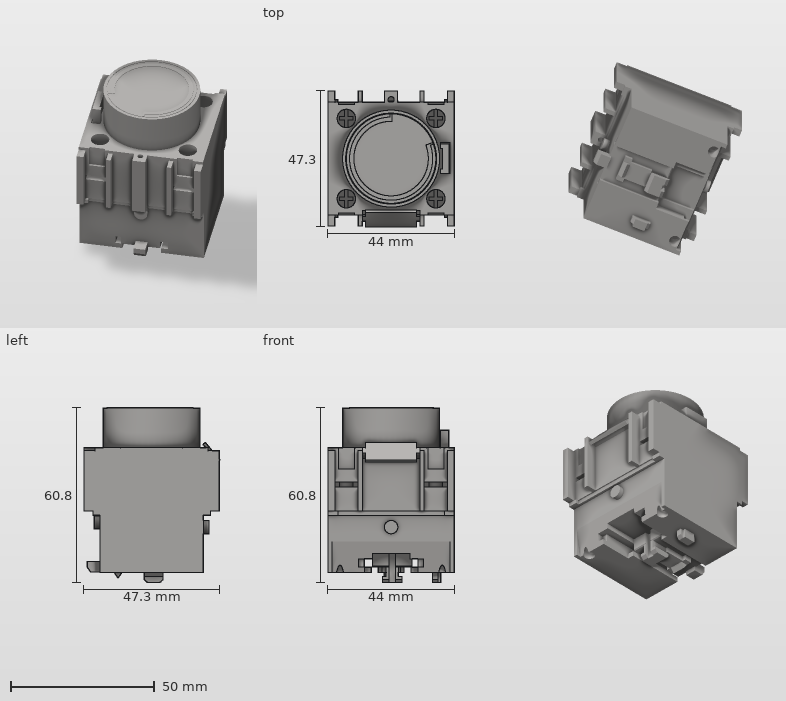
import cadquery as cq
import math

WIDTH = 44.0
OVERALL_HEIGHT = 60.83
BASE_DEPTH = 36.0
HEAD_DEPTH = 39.2
RIB_DEPTH = 47.0
BASE_TOP = 19.9
HEAD_BOTTOM = 21.4
HEAD_TOP = 43.5
OVERLAP = 0.5

BAND_DEPTH = 38.2
FOOT_DEPTH = 40.9
FOOT_INNER_X = 18.5

RIB_TOP = 42.4
OUTER_RIB_INNER_X = 19.55
INNER_RIB_X = (9.95, 11.5)
NOTCH_WIDTH = 5.55
NOTCH_DEPTH = 0.75
NOTCH_BOTTOM = 36.05
WIRE_SLOT_Z = (29.7, 31.5)
SCREW_X = 15.55
SCREW_Y = 13.95
SCREW_HOLE_RADIUS = 3.2
SCREW_HEAD_TOP = 34.0
SCREW_SHANK_RADIUS = 2.33
SCREW_CROSS_WIDTH = 1.2
SCREW_CROSS_SHORT = 4.7
SCREW_CROSS_DEPTH = 1.0

DIAL_RADIUS = 16.85
DIAL_TOP = 57.2
DIAL_GROOVE_RADII = (15.55, 15.8)
DIAL_GROOVE_DEPTH = 0.3
SCALE_RADII = (12.95, 14.45)
SCALE_HEIGHT = 0.2
SCALE_START_ANGLE = 90.0
SCALE_END_ANGLE = 380.0
TICK_LENGTH = DIAL_GROOVE_RADII[0] - SCALE_RADII[0]
TICK_WIDTH = 0.6

KNOB_X = (17.15, 20.05)
KNOB_Y = (-5.1, 5.1)
KNOB_TOP = 49.5
KNOB_RELIEF_WIDTH = 7.1
KNOB_RELIEF_DEPTH = 0.7
KNOB_POCKET_GAP = 0.45
KNOB_POCKET_DEPTH = 1.0

LUG_WIDTH = 4.6
LUG_HOLE_RADIUS = 1.05
LUG_HOLE_Y = 20.5

CLIP_WIDTH = 17.8
CLIP_EAR_WIDTH = 2 * INNER_RIB_X[0]
CLIP_TIP = (-23.83, 39.2)
CLIP_LENGTH = 8.0
CLIP_ANGLE = 49.6
CLIP_THICKNESS = 1.1
CLIP_EAR_BOTTOM = 41.6
CLIP_EAR_THICKNESS = 3.2
CLIP_POCKET_REAR_Y = -17.95
CLIP_POCKET_DEPTH = 1.5

PEG_RADIUS = 2.33
PEG_LENGTH = 2.0
FRONT_PEG_Z = 15.85
REAR_PEG_Z = 17.55

RECESS_WIDTH = 41.0
RECESS_TOP = 10.7
RECESS_DEPTH = 1.8
CHANNEL_Z = (1.95, 4.85)
CHANNEL_WIDTH = 18.6
CHANNEL_MOUTH_WIDTH = 13.7
CHANNEL_CROWN_WIDTH = 12.95
CHANNEL_CROWN_TOP = 6.75
WIDE_POCKET_WIDTH = 22.6
WIDE_POCKET_DEPTH = 3.4
BORE_X = 17.75
BORE_RADIUS = 2.0
BORE_CHORD = 2.5
BORE_DEPTH = 8.0

SHOE_Y = (-4.0, 2.65)
LATCH_X = 0.4
LATCH_WIDTH = 13.8
LATCH_FRONT_Y = SHOE_Y[0]
LATCH_CHAMFER = 0.4
LATCH_SLOT_WIDTH = 2.4
LATCH_SLOT_DEPTH = 1.5
NECK_WIDTH = 4.2
SHOE_WIDTH = 6.85
SHOE_TOP = -1.3
SHOE_BOTTOM = DIAL_TOP + SCALE_HEIGHT - OVERALL_HEIGHT
SHOE_CHAMFER = 1.1
SIDE_SHOE_X = (14.3, 16.3)
SIDE_SHOE_WEB = 0.95
REAR_HOOK_WIDTH = 4.2
REAR_HOOK_Z = (0.2, 3.95)
REAR_HOOK_TIP_Y = 22.4
REAR_HOOK_CHAMFER = (1.2, 1.75)
WEDGE_WIDTH = 5.1
WEDGE_POST_WIDTH = 9.0
KEEL_WIDTH = 6.35
WEDGE_Y = (10.35, 13.0)
WEDGE_DEPTH = 1.85


def box(x_range, y_range, z_range):
    """Axis-aligned block between the given limits."""
    size = [limits[1] - limits[0] for limits in (x_range, y_range, z_range)]
    corner = (x_range[0], y_range[0], z_range[0])
    return cq.Workplane("XY").box(*size, centered=False).translate(corner)


def span(size, middle=0.0):
    """Limits of a length centred on middle."""
    return (middle - size / 2, middle + size / 2)


def cylinder(radius, z_range, x=0.0, y=0.0):
    """Upright cylinder between two heights."""
    height = z_range[1] - z_range[0]
    return cq.Workplane("XY", origin=(x, y, z_range[0])).circle(radius).extrude(height)


def side_profile(points, x_range):
    """Closed (y, z) outline swept along X."""
    sketch = cq.Workplane("YZ", origin=(x_range[0], 0, 0)).polyline(points).close()
    return sketch.extrude(x_range[1] - x_range[0])


def four_corners(shape):
    """The shape together with its mirror images in X and in Y."""
    pair = shape.union(shape.mirror("YZ"))
    return pair.union(pair.mirror("XZ"))


def make_housing():
    body = box(span(WIDTH), span(BASE_DEPTH), (0, BASE_TOP))
    body = body.union(box(span(WIDTH), span(BAND_DEPTH), (BASE_TOP, HEAD_BOTTOM)))
    body = body.union(box(span(WIDTH), span(HEAD_DEPTH), (HEAD_BOTTOM, HEAD_TOP)))
    foot = box((FOOT_INNER_X, WIDTH / 2), (0, FOOT_DEPTH / 2), (BASE_TOP, HEAD_BOTTOM))
    body = body.union(four_corners(foot))
    for rib_x in ((OUTER_RIB_INNER_X, WIDTH / 2), INNER_RIB_X):
        rib = box(rib_x, (0, RIB_DEPTH / 2), (HEAD_BOTTOM, RIB_TOP))
        body = body.union(four_corners(rib))
    return body


def make_terminal_cuts():
    face_y = HEAD_DEPTH / 2
    notch = box(
        span(NOTCH_WIDTH, SCREW_X),
        (face_y - NOTCH_DEPTH, face_y),
        (NOTCH_BOTTOM, HEAD_TOP),
    )
    wire_slot = box((INNER_RIB_X[1], OUTER_RIB_INNER_X), (SCREW_Y, face_y), WIRE_SLOT_Z)
    shank = cylinder(SCREW_SHANK_RADIUS, WIRE_SLOT_Z, SCREW_X, SCREW_Y)
    hole = cylinder(SCREW_HOLE_RADIUS, (SCREW_HEAD_TOP, HEAD_TOP), SCREW_X, SCREW_Y)

    cross_z = (SCREW_HEAD_TOP - SCREW_CROSS_DEPTH, SCREW_HEAD_TOP)
    bar_x = box(span(SCREW_CROSS_SHORT, SCREW_X), span(SCREW_CROSS_WIDTH, SCREW_Y), cross_z)
    bar_y = box(span(SCREW_CROSS_WIDTH, SCREW_X), span(2 * SCREW_HOLE_RADIUS, SCREW_Y), cross_z)
    bar_y = bar_y.intersect(cylinder(SCREW_HOLE_RADIUS, cross_z, SCREW_X, SCREW_Y))

    cuts = notch.union(wire_slot.cut(shank)).union(hole).union(bar_x).union(bar_y)
    return four_corners(cuts)


def make_dial():
    dial = cylinder(DIAL_RADIUS, (HEAD_TOP - OVERLAP, DIAL_TOP))
    groove_z = (DIAL_TOP - DIAL_GROOVE_DEPTH, DIAL_TOP)
    groove = cylinder(DIAL_GROOVE_RADII[1], groove_z).cut(cylinder(DIAL_GROOVE_RADII[0], groove_z))
    return dial.cut(groove).union(make_scale())


def on_circle(radius, angle):
    return (radius * math.cos(math.radians(angle)), radius * math.sin(math.radians(angle)))


def make_scale():
    """Raised arc on the dial with a radial tick at each end."""
    inner, outer = SCALE_RADII
    start, end = SCALE_START_ANGLE, SCALE_END_ANGLE
    middle = (start + end) / 2
    floor = DIAL_TOP - DIAL_GROOVE_DEPTH
    height = SCALE_HEIGHT + DIAL_GROOVE_DEPTH
    scale = (
        cq.Workplane("XY", origin=(0, 0, floor))
        .moveTo(*on_circle(inner, start))
        .threePointArc(on_circle(inner, middle), on_circle(inner, end))
        .lineTo(*on_circle(outer, end))
        .threePointArc(on_circle(outer, middle), on_circle(outer, start))
        .close()
        .extrude(height)
    )
    tick = box((inner, inner + TICK_LENGTH), span(TICK_WIDTH), (floor, floor + height))
    for angle in (start, end):
        scale = scale.union(tick.rotate((0, 0, 0), (0, 0, 1), angle))
    return scale


def add_knob(body):
    pocket_floor = HEAD_TOP - KNOB_POCKET_DEPTH
    pocket = box(
        (KNOB_X[0], KNOB_X[1] + KNOB_POCKET_GAP),
        (KNOB_Y[0], KNOB_Y[1] + KNOB_POCKET_GAP),
        (pocket_floor, HEAD_TOP),
    )
    knob = box(KNOB_X, KNOB_Y, (pocket_floor - OVERLAP, KNOB_TOP))
    relief = box(
        (KNOB_X[0], KNOB_X[0] + KNOB_RELIEF_DEPTH),
        span(KNOB_RELIEF_WIDTH),
        (HEAD_TOP, KNOB_TOP),
    )
    return body.cut(pocket).union(knob.cut(relief))


def make_lug():
    height = (HEAD_BOTTOM, HEAD_TOP)
    lug = box(span(LUG_WIDTH), (HEAD_DEPTH / 2, RIB_DEPTH / 2), height)
    return lug.cut(cylinder(LUG_HOLE_RADIUS, height, 0, LUG_HOLE_Y))


def make_clip():
    angle = math.radians(CLIP_ANGLE)
    up_slope = (math.cos(angle), math.sin(angle))
    inward = (math.sin(angle), -math.cos(angle))

    def clip_point(along, deep):
        """(y, z) at a distance up the slope from the tip and inward from the outer face."""
        return tuple(CLIP_TIP[i] + along * up_slope[i] + deep * inward[i] for i in (0, 1))

    plate = side_profile(
        [
            clip_point(0, 0),
            clip_point(CLIP_LENGTH, 0),
            clip_point(CLIP_LENGTH, CLIP_THICKNESS),
            clip_point(0, CLIP_THICKNESS),
        ],
        span(CLIP_WIDTH),
    )
    ear_start = (CLIP_EAR_BOTTOM - CLIP_TIP[1]) / math.sin(angle)
    ear_end = (HEAD_TOP - CLIP_TIP[1]) / math.sin(angle)
    ears = side_profile(
        [
            clip_point(ear_start, 0),
            clip_point(ear_end, 0),
            (-HEAD_DEPTH / 2, HEAD_TOP),
            clip_point(ear_start, CLIP_EAR_THICKNESS),
        ],
        span(CLIP_EAR_WIDTH),
    )
    return plate.union(ears)


def make_clip_pocket():
    return box(
        span(CLIP_EAR_WIDTH),
        (-HEAD_DEPTH / 2, CLIP_POCKET_REAR_Y),
        (HEAD_TOP - CLIP_POCKET_DEPTH, HEAD_TOP),
    )


def make_pegs():
    face_y = BASE_DEPTH / 2
    length = PEG_LENGTH + OVERLAP
    front = cq.Workplane("XZ", origin=(0, -face_y + OVERLAP, FRONT_PEG_Z))
    rear = cq.Workplane("XZ", origin=(0, face_y - OVERLAP, REAR_PEG_Z))
    return front.circle(PEG_RADIUS).extrude(length).union(rear.circle(PEG_RADIUS).extrude(-length))


def make_base_cuts():
    front_y = -BASE_DEPTH / 2
    recess_y = front_y + RECESS_DEPTH
    through = span(BASE_DEPTH)
    recess = side_profile([(front_y, RECESS_TOP), (front_y, 0), (recess_y, 0)], span(RECESS_WIDTH))
    front_mouth = box(span(CHANNEL_WIDTH), (front_y, LATCH_FRONT_Y), (0, CHANNEL_Z[0]))
    mouth = box(span(CHANNEL_MOUTH_WIDTH), through, (0, CHANNEL_Z[0]))
    channel = box(span(CHANNEL_WIDTH), through, CHANNEL_Z)
    crown = box(span(CHANNEL_CROWN_WIDTH), through, (CHANNEL_Z[1], CHANNEL_CROWN_TOP))
    wide_y = (front_y, front_y + WIDE_POCKET_DEPTH)
    wide_pocket = box(span(WIDE_POCKET_WIDTH), wide_y, CHANNEL_Z)
    cuts = recess.union(front_mouth).union(mouth).union(channel).union(crown).union(wide_pocket)

    bore_y = recess_y + math.sqrt(BORE_RADIUS**2 - (BORE_CHORD / 2) ** 2)
    for bore_x in (-BORE_X, BORE_X):
        cuts = cuts.union(cylinder(BORE_RADIUS, (0, BORE_DEPTH), bore_x, bore_y))
    return cuts


def make_shoe(x_range, top):
    """Block with both lower edges chamfered across Y."""
    front, rear = SHOE_Y
    knee = SHOE_BOTTOM + SHOE_CHAMFER
    outline = [
        (front, top),
        (front, knee),
        (front + SHOE_CHAMFER, SHOE_BOTTOM),
        (rear - SHOE_CHAMFER, SHOE_BOTTOM),
        (rear, knee),
        (rear, top),
    ]
    return side_profile(outline, x_range)


def make_latch():
    """Slider with the front shoe, the keel and wedge under it, and the rear hook."""
    rear_y = BASE_DEPTH / 2
    slider_x = span(LATCH_WIDTH, LATCH_X)
    low, high = CHANNEL_Z[0], CHANNEL_CROWN_TOP
    slider = side_profile(
        [
            (LATCH_FRONT_Y, high),
            (LATCH_FRONT_Y, low + LATCH_CHAMFER),
            (LATCH_FRONT_Y + LATCH_CHAMFER, low),
            (rear_y, low),
            (rear_y, high),
        ],
        slider_x,
    )
    slot_x = span(LATCH_SLOT_WIDTH, LATCH_X)
    slider = slider.cut(box(slot_x, (LATCH_FRONT_Y, LATCH_FRONT_Y + LATCH_SLOT_DEPTH), (low, high)))

    neck = box(span(NECK_WIDTH, LATCH_X), SHOE_Y, (SHOE_TOP, low))
    shoe = neck.union(make_shoe(span(SHOE_WIDTH, LATCH_X), SHOE_TOP))
    shoe_slot_y = (SHOE_Y[0], SHOE_Y[0] + LATCH_SLOT_DEPTH)
    shoe = shoe.cut(box(slot_x, shoe_slot_y, (SHOE_BOTTOM, low)))

    hook_low, hook_high = REAR_HOOK_Z
    run, rise = REAR_HOOK_CHAMFER
    hook = side_profile(
        [
            (rear_y - OVERLAP, hook_low),
            (REAR_HOOK_TIP_Y - run, hook_low),
            (REAR_HOOK_TIP_Y, hook_low + rise),
            (REAR_HOOK_TIP_Y, hook_high),
            (rear_y - OVERLAP, hook_high),
        ],
        span(REAR_HOOK_WIDTH),
    )
    wedge_tip = (sum(WEDGE_Y) / 2, -WEDGE_DEPTH)
    wedge = side_profile([(WEDGE_Y[0], 0), wedge_tip, (WEDGE_Y[1], 0)], span(WEDGE_WIDTH))
    post = box(span(WEDGE_POST_WIDTH), WEDGE_Y, (0, low))
    keel = box(span(KEEL_WIDTH), (SHOE_Y[1], WEDGE_Y[0]), (0, low))
    return slider.union(shoe).union(hook).union(wedge).union(post).union(keel)


def make_side_shoe():
    web_x = (SIDE_SHOE_X[1], SIDE_SHOE_X[1] + SIDE_SHOE_WEB)
    web_y = (SHOE_Y[0] + SHOE_CHAMFER, SHOE_Y[1] - SHOE_CHAMFER)
    return make_shoe(SIDE_SHOE_X, 0).union(box(web_x, web_y, (SHOE_BOTTOM, 0)))


body = make_housing().cut(make_terminal_cuts()).cut(make_clip_pocket()).union(make_dial())
body = add_knob(body).union(make_lug()).union(make_clip()).union(make_pegs())
body = body.cut(make_base_cuts()).union(make_latch()).union(make_side_shoe())

result = body